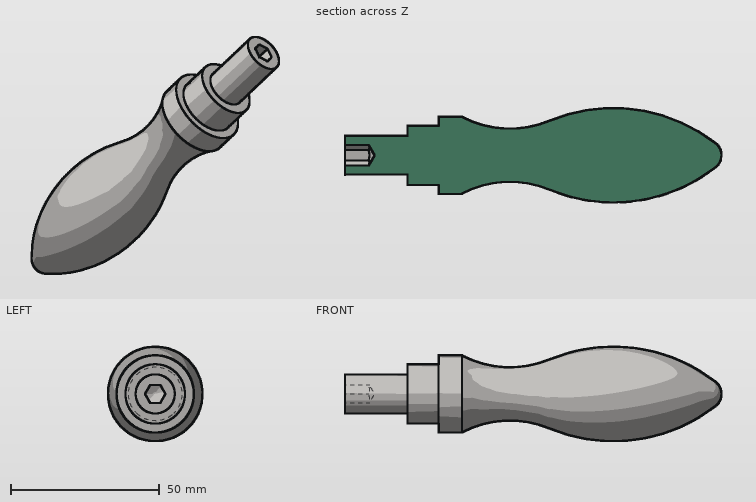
import cadquery as cq
import math

length = 126.5
stem_length = 21.0
collar_end = 31.5
shoulder_end = 39.3
neck_x = 55.4
tip_start = 124.1

stem_radius = 6.6
collar_radius = 10.0
shoulder_radius = 13.0
neck_radius = 9.0
belly_radius = 16.0

neck_curve = 34.5
belly_curve = 55.7

socket_flats = 6.0
socket_depth = 8.0
socket_cone_angle = 120.0

neck_center_r = neck_radius + neck_curve
belly_center_r = belly_radius - belly_curve
center_rise = neck_center_r - belly_center_r
center_run = math.sqrt((neck_curve + belly_curve) ** 2 - center_rise ** 2)
belly_x = neck_x + center_run
join_fraction = neck_curve / (neck_curve + belly_curve)
join_x = neck_x + center_run * join_fraction
join_radius = neck_center_r - center_rise * join_fraction


def neck_height(x):
    """Radius of the concave neck at station x."""
    return neck_center_r - math.sqrt(neck_curve ** 2 - (x - neck_x) ** 2)


def belly_height(x):
    """Radius of the convex belly at station x."""
    return belly_center_r + math.sqrt(belly_curve ** 2 - (x - belly_x) ** 2)


def make_handle():
    """Stepped stem and curved grip, turned about X."""
    tip_radius = belly_height(tip_start)
    tip_height = length - tip_start
    tip_curve = (tip_radius ** 2 + tip_height ** 2) / (2 * tip_height)
    tip_mid_radius = tip_radius / 2
    tip_mid_x = length - tip_curve + math.sqrt(tip_curve ** 2 - tip_mid_radius ** 2)
    profile = (
        cq.Workplane("XY")
        .moveTo(0, 0)
        .lineTo(0, stem_radius)
        .lineTo(stem_length, stem_radius)
        .lineTo(stem_length, collar_radius)
        .lineTo(collar_end, collar_radius)
        .lineTo(collar_end, shoulder_radius)
        .lineTo(shoulder_end, shoulder_radius)
        .lineTo(shoulder_end, neck_height(shoulder_end))
        .threePointArc((neck_x, neck_radius), (join_x, join_radius))
        .threePointArc((belly_x, belly_radius), (tip_start, tip_radius))
        .threePointArc((tip_mid_x, tip_mid_radius), (length, 0))
        .close()
    )
    return profile.revolve(360, (0, 0, 0), (1, 0, 0))


def make_socket():
    """Hexagonal hole with corners along Y and a conical bottom."""
    corner_radius = socket_flats / math.sqrt(3)
    cone_depth = corner_radius / math.tan(math.radians(socket_cone_angle / 2))
    full_depth = socket_depth + cone_depth
    hexagon = cq.Workplane("YZ").polygon(6, 2 * corner_radius).extrude(full_depth)
    pointed_bore = (
        cq.Workplane("XY")
        .polyline([(0, 0), (0, corner_radius), (socket_depth, corner_radius), (full_depth, 0)])
        .close()
        .revolve(360, (0, 0, 0), (1, 0, 0))
    )
    return hexagon.intersect(pointed_bore)


result = make_handle().cut(make_socket())